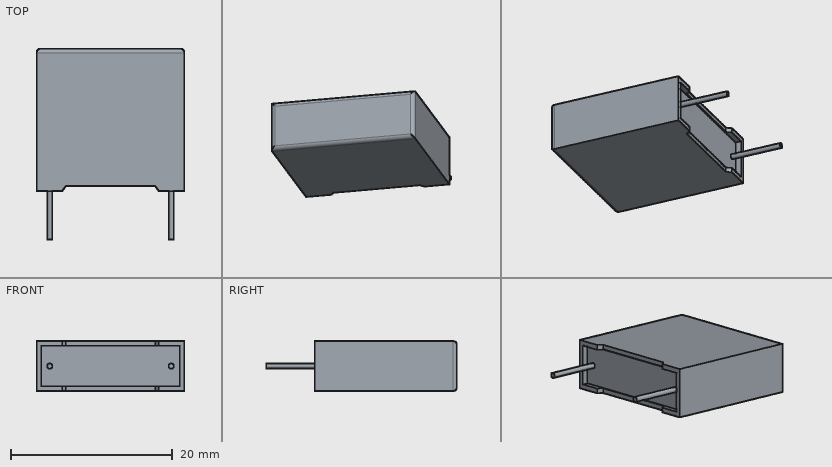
import cadquery as cq

width = 18.3
height = 6.2
overall_length = 23.6
lead_reach = 6.0
housing_length = overall_length - lead_reach
wall = 0.61
back_edge_radius = 0.5

notch_depth = 0.61
foot_width = 3.19
notch_slope_width = 0.45
notch_half_mouth = width / 2 - foot_width
notch_half_floor = notch_half_mouth - notch_slope_width

fill_setback = 0.75

lead_diameter = 0.65
lead_pitch = 15.0

cavity_width = width - 2 * wall
cavity_height = height - 2 * wall
cavity_end = housing_length - wall


def block_along_y(size_x, size_z, y_start, y_end):
    """Box centred on the Y axis in X and Z."""
    length = y_end - y_start
    return cq.Workplane("XY").box(size_x, length, size_z).translate((0, y_start + length / 2, 0))


def make_housing():
    shell = block_along_y(width, height, 0, housing_length)
    shell = shell.faces(">Y").edges().fillet(back_edge_radius)
    shell = shell.cut(block_along_y(cavity_width, cavity_height, 0, cavity_end))
    notch = (
        cq.Workplane("XY")
        .polyline([
            (-notch_half_mouth, 0),
            (-notch_half_floor, notch_depth),
            (notch_half_floor, notch_depth),
            (notch_half_mouth, 0),
        ])
        .close()
        .extrude(height / 2, both=True)
    )
    return shell.cut(notch)


def make_filling():
    return block_along_y(cavity_width, cavity_height, fill_setback, cavity_end)


def make_lead(x):
    """Round lead standing on the outer face of the filling and pointing to -Y."""
    return (
        cq.Workplane("XZ", origin=(x, fill_setback, 0))
        .circle(lead_diameter / 2)
        .extrude(fill_setback + lead_reach)
    )


housing = make_housing()
filling = make_filling()
leads = [make_lead(side * lead_pitch / 2) for side in (-1, 1)]

result = cq.Compound.makeCompound([
    housing.val(),
    filling.val(),
    *[lead.val() for lead in leads],
])